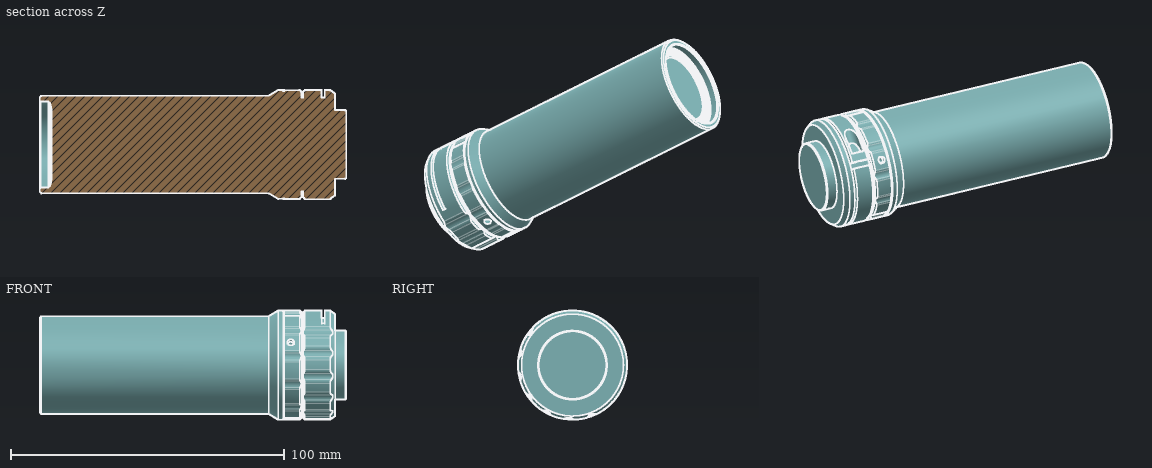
import cadquery as cq
import math

total_length = 112.1
tube_end = 83.8
cone_end = 87.2
grip_ring_start = 89.0
grip_ring_end = 95.8
clamp_start = 96.3
clamp_end = 108.1

tube_radius = 17.9
body_diameter = 40.0
body_radius = body_diameter / 2
hub_radius = 17.3
spigot_radius = 12.7

tube_chamfer = 0.6
ring_chamfer = 0.7
spigot_chamfer = 0.3
clamp_rear_chamfer_length = 1.9
clamp_rear_chamfer_height = 1.3
shoulder_groove_width = 0.3
shoulder_groove_depth = 0.3

mouth_chamfer = 0.3
mouth_steps = [
    (15.7, 3.1),
    (15.2, 3.7),
    (14.9, 3.8),
    (14.6, 3.9),
    (14.0, 4.0),
    (13.3, 4.1),
    (13.0, 4.3),
    (12.3, 4.4),
]

grip_flute_count = 12
grip_flute_first = 9.5
grip_flute_depth = 0.6
grip_flute_radius = 2.8
grip_flute_lip = 1.5
clamp_flute_count = 7
clamp_flute_first = 37.7
clamp_flute_pitch = 24.8
clamp_flute_depth = 0.73
clamp_flute_radius = 2.5
clamp_flute_lip = 2.5
cutter_margin = 1.1

set_screw_count = 3
set_screw_first = 24.5
set_screw_x = 91.8
set_screw_diameter = 2.5
set_screw_depth = 2.2
drill_point_angle = 118.0

slit_start_x = 103.2
slit_width = 1.0
slit_first_angle = 49.5
screw_x = 99.9
screw_plane_angle = 50.0
slit_last_angle = 2 * (90 + screw_plane_angle) - slit_first_angle
screw_height = 17.9
cross_slit_width = 2.2
screw_wall = 3.3
screw_head_radius = 2.4
screw_hole_radius = 1.3


def x_cylinder(radius, start, end):
    """Solid cylinder on the X axis."""
    return cq.Workplane("YZ", origin=(start, 0, 0)).circle(radius).extrude(end - start)


def turned_body():
    """Outer turned shape with the neck between grip ring and clamp."""
    points = [
        (0, 0),
        (0, tube_radius - tube_chamfer),
        (tube_chamfer, tube_radius),
        (tube_end, tube_radius),
        (cone_end, body_radius),
        (grip_ring_start, body_radius),
        (grip_ring_start, body_radius - shoulder_groove_depth),
        (grip_ring_start + shoulder_groove_width, body_radius - shoulder_groove_depth),
        (grip_ring_start + shoulder_groove_width, body_radius),
        (grip_ring_end - ring_chamfer, body_radius),
        (grip_ring_end, body_radius - ring_chamfer),
        (grip_ring_end, hub_radius),
        (clamp_start, hub_radius),
        (clamp_start, body_radius - ring_chamfer),
        (clamp_start + ring_chamfer, body_radius),
        (clamp_end - clamp_rear_chamfer_length, body_radius),
        (clamp_end, body_radius - clamp_rear_chamfer_height),
        (clamp_end, spigot_radius),
        (total_length - spigot_chamfer, spigot_radius),
        (total_length, spigot_radius - spigot_chamfer),
        (total_length, 0),
    ]
    return cq.Workplane("XY").polyline(points).close().revolve(360, (0, 0, 0), (1, 0, 0))


def mouth_recess():
    """Stepped recess, chamfered at the mouth, narrowing down to the front glass."""
    first_radius = mouth_steps[0][0]
    points = [(0, 0), (0, first_radius + mouth_chamfer), (mouth_chamfer, first_radius)]
    for index, (radius, depth) in enumerate(mouth_steps):
        if index > 0:
            points.append((mouth_steps[index - 1][1], radius))
        points.append((depth, radius))
    points.append((mouth_steps[-1][1], 0))
    return cq.Workplane("XY").polyline(points).close().revolve(360, (0, 0, 0), (1, 0, 0))


def around_axis(shape, angle):
    """Turn a shape about X from -Y towards +Z."""
    return shape.rotate((0, 0, 0), (1, 0, 0), -angle)


def flute_cutter(start, end, depth, radius, lip):
    """Concave flute at -Y whose convex lips run out tangent to the body."""
    groove_centre = body_radius - depth + radius
    lip_centre = body_radius - lip
    spread = radius + lip
    cos_lip = (groove_centre**2 + lip_centre**2 - spread**2) / (2 * groove_centre * lip_centre)
    lip_angle = math.acos(cos_lip)
    lip_y = -lip_centre * math.cos(lip_angle)
    lip_z = lip_centre * math.sin(lip_angle)
    share = lip / spread
    blend = (lip_y - share * (groove_centre + lip_y), lip_z * (1 - share))
    runout = (-body_radius * math.cos(lip_angle), body_radius * math.sin(lip_angle))
    outside = -body_radius - cutter_margin

    def mirrored(point):
        return (point[0], -point[1])

    return (
        cq.Workplane("YZ", origin=(start, 0, 0))
        .moveTo(*runout)
        .radiusArc(blend, -lip)
        .radiusArc(mirrored(blend), radius)
        .radiusArc(mirrored(runout), -lip)
        .lineTo(outside, -runout[1])
        .lineTo(outside, runout[1])
        .close()
        .extrude(end - start)
    )


def set_screw_hole():
    """Radial drilled hole with a conical bottom at -Y."""
    radius = set_screw_diameter / 2
    point_length = radius / math.tan(math.radians(drill_point_angle / 2))
    floor = set_screw_depth - body_radius
    points = [
        (set_screw_x, -body_radius - cutter_margin),
        (set_screw_x + radius, -body_radius - cutter_margin),
        (set_screw_x + radius, floor),
        (set_screw_x, floor + point_length),
    ]
    profile = cq.Workplane("XY").polyline(points).close()
    return profile.revolve(360, (set_screw_x, 0, 0), (set_screw_x, 1, 0))


def arc_slit():
    """Slit round part of the clamp, down to the hub."""
    reach = 2 * body_radius
    sweep = slit_last_angle - slit_first_angle
    sector = cq.Workplane("YZ", origin=(slit_start_x, 0, 0)).moveTo(0, 0)
    wedge_count = 3
    for index in range(wedge_count + 1):
        angle = math.radians(slit_first_angle + index * sweep / wedge_count)
        sector = sector.lineTo(-reach * math.cos(angle), reach * math.sin(angle))
    return sector.close().extrude(slit_width)


def clamp_screw_cuts():
    """Cross slit, screw hole and open-topped head pocket, tangential to the clamp."""
    reach = body_radius
    slit_length = slit_start_x + slit_width / 2 - clamp_start
    corner = (False, False, False)
    slit = cq.Workplane("XY", origin=(clamp_start, 0, 0)).box(slit_length, cross_slit_width, reach, corner)
    axis = cq.Workplane("XZ", origin=(screw_x, 0, screw_height))
    hole = axis.circle(screw_hole_radius).extrude(screw_wall + cutter_margin)
    seat = axis.workplane(offset=screw_wall)
    bore = seat.circle(screw_head_radius).extrude(reach)
    opening = seat.center(0, reach / 2).rect(2 * screw_head_radius, reach).extrude(reach)
    cuts = slit.union(hole).union(bore).union(opening)
    return cuts.rotate((0, 0, 0), (1, 0, 0), -screw_plane_angle)


result = turned_body().cut(mouth_recess())

grip_flute_start = grip_ring_start + shoulder_groove_width
grip_flute = flute_cutter(
    grip_flute_start, grip_ring_end, grip_flute_depth, grip_flute_radius, grip_flute_lip
)
for index in range(grip_flute_count):
    result = result.cut(around_axis(grip_flute, grip_flute_first + index * 360 / grip_flute_count))

clamp_flute = flute_cutter(clamp_start, clamp_end, clamp_flute_depth, clamp_flute_radius, clamp_flute_lip)
for index in range(clamp_flute_count):
    result = result.cut(around_axis(clamp_flute, clamp_flute_first - index * clamp_flute_pitch))

for index in range(set_screw_count):
    result = result.cut(around_axis(set_screw_hole(), set_screw_first + index * 360 / set_screw_count))

hub = x_cylinder(hub_radius, tube_end, clamp_end)
result = result.cut(arc_slit().union(clamp_screw_cuts()).cut(hub))